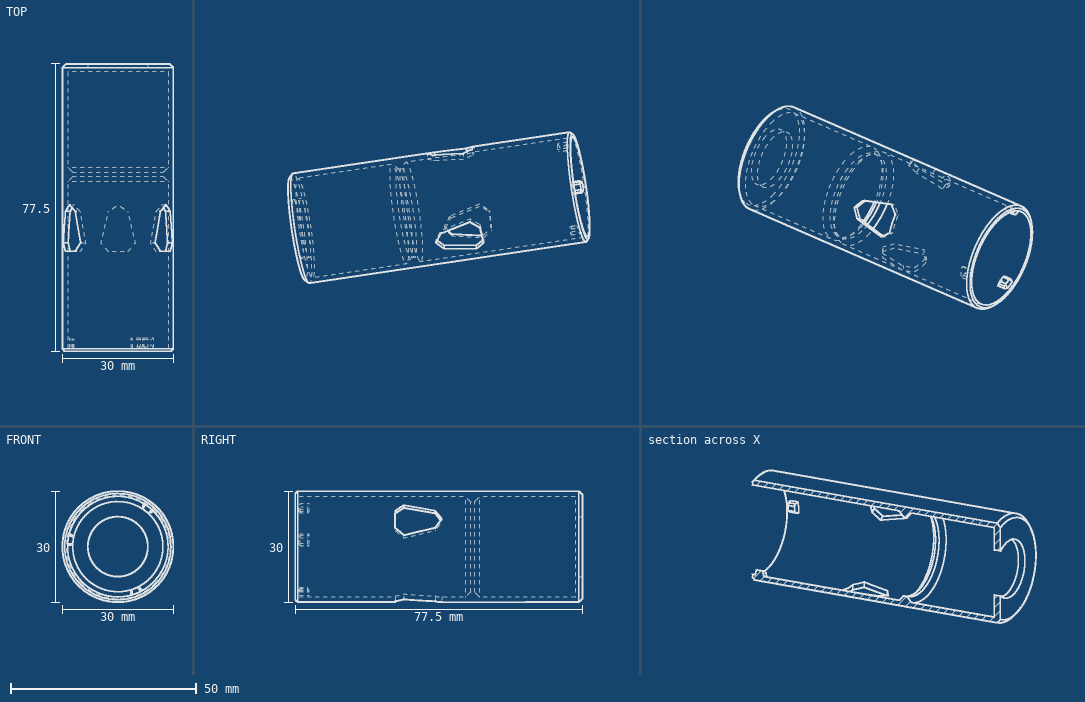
import cadquery as cq

LENGTH = 77.5
OUTER_DIAMETER = 30.0
OUTER_RADIUS = OUTER_DIAMETER / 2
BORE_RADIUS = 13.6
MOUTH_CHAMFER = 0.66
END_CHAMFER = 1.0
FLOOR_THICKNESS = 2.0
FLOOR_HOLE_RADIUS = 8.05

RIB_RADIUS = 12.2
RIB_START = 47.2
RIB_LAND = 1.1

REPEATS = 3
STEP_ANGLE = 360.0 / REPEATS
FIRST_WINDOW_ANGLE = 30.0
FIRST_LUG_ANGLE = 52.0

WINDOW_START = 27.0
WINDOW_WIDEST = 29.3
WINDOW_SHOULDER = 37.75
WINDOW_TIP = 39.5
WINDOW_HALF_WIDTH = 4.65
WINDOW_END_HALF_WIDTH = 2.6

LUG_START = 0.6
LUG_LENGTH = 3.25
LUG_NOSE_LENGTH = 0.8
LUG_ROOT_RADIUS = 14.1
LUG_INNER_RADIUS = RIB_RADIUS
LUG_HALF_WIDTH = 1.85
LUG_NOSE_HALF_WIDTH = 1.25
LUG_DRAFT_ANGLE = 18.0
LUG_CHAMFER = 0.5


def tube():
    """Revolved tube with chamfered ends, a ring rib in the bore and a holed floor."""
    floor = LENGTH - FLOOR_THICKNESS
    rib_height = BORE_RADIUS - RIB_RADIUS
    rib_end = RIB_START + RIB_LAND
    profile = [
        (BORE_RADIUS, 0),
        (OUTER_RADIUS - MOUTH_CHAMFER, 0),
        (OUTER_RADIUS, MOUTH_CHAMFER),
        (OUTER_RADIUS, LENGTH - END_CHAMFER),
        (OUTER_RADIUS - END_CHAMFER, LENGTH),
        (FLOOR_HOLE_RADIUS, LENGTH),
        (FLOOR_HOLE_RADIUS, floor),
        (BORE_RADIUS, floor),
        (BORE_RADIUS, rib_end + rib_height),
        (RIB_RADIUS, rib_end),
        (RIB_RADIUS, RIB_START),
        (BORE_RADIUS, RIB_START - rib_height),
    ]
    return cq.Workplane("XY").polyline(profile).close().revolve(360, (0, 0, 0), (0, 1, 0))


def around_axis(shape, angle):
    """Turn a shape built along +X to the given angle from +X toward +Z."""
    return shape.rotate((0, 0, 0), (0, 1, 0), -angle)


def window_cutter():
    """Seven-sided prism along +X that reaches from the axis through one wall."""
    outline = [
        (WINDOW_START, -WINDOW_END_HALF_WIDTH),
        (WINDOW_WIDEST, -WINDOW_HALF_WIDTH),
        (WINDOW_SHOULDER, -WINDOW_END_HALF_WIDTH),
        (WINDOW_TIP, 0),
        (WINDOW_SHOULDER, WINDOW_END_HALF_WIDTH),
        (WINDOW_WIDEST, WINDOW_HALF_WIDTH),
        (WINDOW_START, WINDOW_END_HALF_WIDTH),
    ]
    return cq.Workplane("YZ").polyline(outline).close().extrude(OUTER_RADIUS)


def lug():
    """Drafted block with a nose narrowing toward the mouth and bevelled long edges."""
    nose_end = LUG_START + LUG_NOSE_LENGTH
    lug_end = LUG_START + LUG_LENGTH
    outline = [
        (LUG_START, -LUG_NOSE_HALF_WIDTH),
        (nose_end, -LUG_HALF_WIDTH),
        (lug_end, -LUG_HALF_WIDTH),
        (lug_end, LUG_HALF_WIDTH),
        (nose_end, LUG_HALF_WIDTH),
        (LUG_START, LUG_NOSE_HALF_WIDTH),
    ]
    return (
        cq.Workplane("YZ", origin=(LUG_ROOT_RADIUS, 0, 0))
        .polyline(outline)
        .close()
        .extrude(LUG_INNER_RADIUS - LUG_ROOT_RADIUS, taper=LUG_DRAFT_ANGLE)
        .faces("<X")
        .edges("|Y")
        .chamfer(LUG_CHAMFER)
    )


result = tube()
for index in range(REPEATS):
    turn = index * STEP_ANGLE
    result = result.cut(around_axis(window_cutter(), FIRST_WINDOW_ANGLE + turn))
    result = result.union(around_axis(lug(), FIRST_LUG_ANGLE + turn))